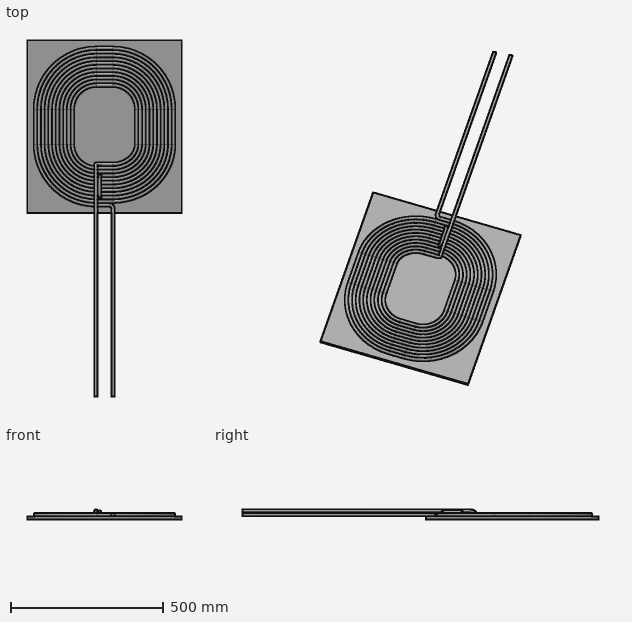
import cadquery as cq
import math

overall_length = 1172.0
overall_height = 34.0

plate_width = 510.0
plate_depth = 568.0

wire_diameter = 12.0
wire_gap = 0.5
turn_count = 11
inner_corner_radius = 79.0
corner_x = 27.0
corner_y = 57.0

lead_tip_length = 79.0
inner_lead_x = -28.0
inner_bend_start_x = -13.0
inner_bend_depth = 16.0
inner_bend_fullness = 2.4
outer_lead_x = 28.0
outer_bend_radius = 13.0

bridge_x = -16.0
bridge_drop = 4.1
bridge_leg_depth = 7.0
bridge_first_turn = 2
bridge_last_turn = 8

wire_radius = wire_diameter / 2
wire_pitch = wire_diameter + wire_gap
plate_thickness = overall_height - wire_diameter - wire_pitch
coil_z = plate_thickness + wire_radius
raised_z = coil_z + wire_pitch
plate_rear_y = plate_depth / 2
lead_end_y = plate_rear_y - overall_length
lead_tip_y = lead_end_y + lead_tip_length


def corner_radius(turn):
    """Corner radius of the wire axis on a turn, counted from 0 at the inside."""
    return inner_corner_radius + turn * wire_pitch


def front_run_y(turn):
    """Y of the straight front run that ends a turn; turn -1 gives the run before the first."""
    return -corner_y - corner_radius(turn)


def line(start, end):
    return cq.Edge.makeLine(cq.Vector(*start), cq.Vector(*end))


def corner_arc(x, y, radius, start_angle):
    """Quarter circle about a corner centre, running counterclockwise."""
    points = []
    for sweep_angle in (0, 45, 90):
        a = math.radians(start_angle + sweep_angle)
        points.append(cq.Vector(x + radius * math.cos(a), y + radius * math.sin(a), coil_z))
    return cq.Edge.makeThreePointArc(*points)


def turn_edges(turn):
    """One turn after its front run: the elliptical first corner steps out by one pitch."""
    radius = corner_radius(turn)
    side_x = corner_x + radius
    rear_y = corner_y + radius
    step_corner = cq.Edge.makeEllipse(
        radius, radius - wire_pitch, pnt=cq.Vector(corner_x, -corner_y, coil_z), angle1=270, angle2=360
    )
    return [
        step_corner,
        line((side_x, -corner_y, coil_z), (side_x, corner_y, coil_z)),
        corner_arc(corner_x, corner_y, radius, 0),
        line((corner_x, rear_y, coil_z), (-corner_x, rear_y, coil_z)),
        corner_arc(-corner_x, corner_y, radius, 90),
        line((-side_x, corner_y, coil_z), (-side_x, -corner_y, coil_z)),
        corner_arc(-corner_x, -corner_y, radius, 180),
    ]


def inner_lead_edges():
    """Raised lead, running from its tip over the turns and down into the innermost front run."""
    run_y = front_run_y(-1)
    bend_end = (inner_lead_x, run_y - inner_bend_depth, raised_z)
    bend_start = (inner_bend_start_x, run_y, coil_z)
    tip_joint = (inner_lead_x, lead_tip_y, raised_z)
    bend = cq.Edge.makeSpline(
        [cq.Vector(*bend_end), cq.Vector(*bend_start)],
        tangents=[cq.Vector(0, inner_bend_fullness, 0), cq.Vector(inner_bend_fullness, 0, 0)],
        scale=False,
    )
    return [
        line((inner_lead_x, lead_end_y, raised_z), tip_joint),
        line(tip_joint, bend_end),
        bend,
        line(bend_start, (corner_x, run_y, coil_z)),
    ]


def outer_lead_edges():
    """End of the outermost front run, its flat bend and the lead at coil height."""
    run_y = front_run_y(turn_count - 1)
    bend_x = outer_lead_x - outer_bend_radius
    bend_end_y = run_y - outer_bend_radius
    diagonal = outer_bend_radius * math.sqrt(0.5)
    tip_joint = (outer_lead_x, lead_tip_y, coil_z)
    bend = cq.Edge.makeThreePointArc(
        cq.Vector(bend_x, run_y, coil_z),
        cq.Vector(bend_x + diagonal, bend_end_y + diagonal, coil_z),
        cq.Vector(outer_lead_x, bend_end_y, coil_z),
    )
    return [
        line((-corner_x, run_y, coil_z), (bend_x, run_y, coil_z)),
        bend,
        line((outer_lead_x, bend_end_y, coil_z), tip_joint),
        line(tip_joint, (outer_lead_x, lead_end_y, coil_z)),
    ]


def make_winding():
    """Round wire swept along the inner lead, all turns and the outer lead."""
    edges = inner_lead_edges()
    for turn in range(turn_count):
        edges += turn_edges(turn)
        if turn < turn_count - 1:
            run_y = front_run_y(turn)
            edges.append(line((-corner_x, run_y, coil_z), (corner_x, run_y, coil_z)))
    edges += outer_lead_edges()
    path = cq.Wire.assembleEdges(edges)
    section = cq.Workplane("XZ", origin=(inner_lead_x, lead_end_y, raised_z)).circle(wire_radius)
    return section.sweep(cq.Workplane(obj=path), transition="right")


def rod(start, end):
    """Straight round wire between two points on its axis."""
    axis = cq.Vector(*end) - cq.Vector(*start)
    return cq.Workplane(obj=cq.Solid.makeCylinder(wire_radius, axis.Length, cq.Vector(*start), axis))


def make_bridge():
    """Staple of wire beside the inner lead: a bar on two slanted legs with ball-shaped elbows."""
    bar_z = raised_z - bridge_drop
    rear_foot = (inner_bend_start_x, front_run_y(bridge_first_turn), coil_z)
    front_foot = (inner_bend_start_x, front_run_y(bridge_last_turn), coil_z)
    rear_elbow = (bridge_x, rear_foot[1] - bridge_leg_depth, bar_z)
    front_elbow = (bridge_x, front_foot[1] + bridge_leg_depth, bar_z)
    bridge = rod(rear_elbow, front_elbow)
    for foot, elbow in ((rear_foot, rear_elbow), (front_foot, front_elbow)):
        bridge = bridge.union(rod(foot, elbow))
        bridge = bridge.union(cq.Workplane("XY", origin=elbow).sphere(wire_radius))
    return bridge


def make_plate():
    """Flat base plate under the coil."""
    return cq.Workplane("XY").rect(plate_width, plate_depth).extrude(plate_thickness)


plate = make_plate()
coil = make_winding().union(make_bridge(), clean=False)

result = cq.Compound.makeCompound([plate.val(), coil.solids().val()])